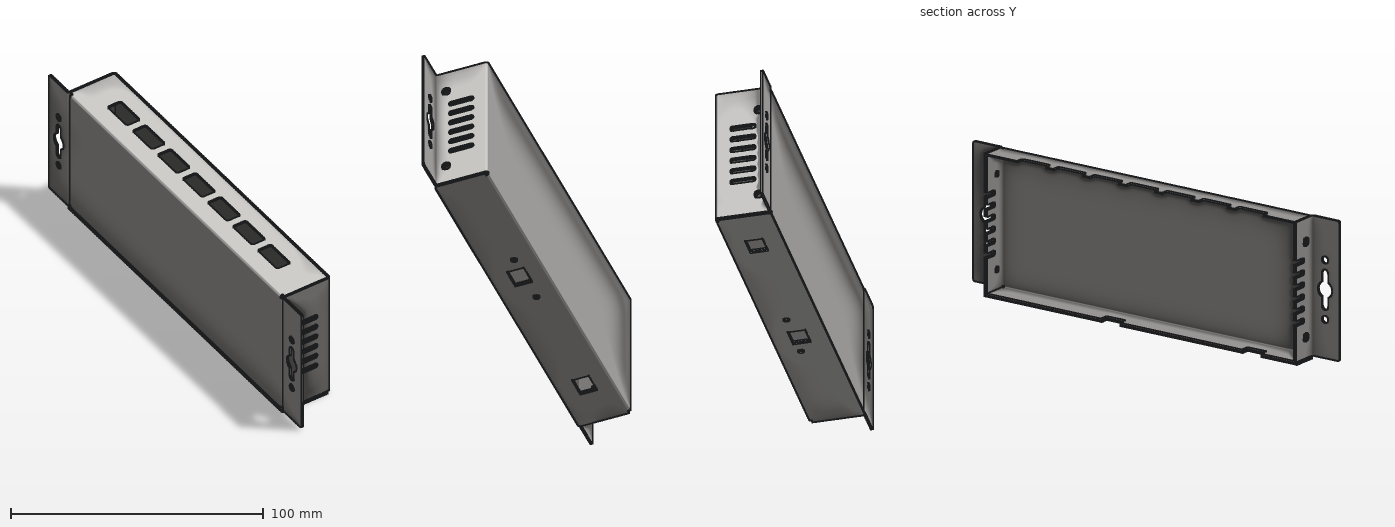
import cadquery as cq
import math

overall_length = 179.0
depth = 22.7
height = 59.5
case_length = 152.7

sheet = 0.8
bend_inner = 0.4
bend_outer = bend_inner + sheet
ear_corner = 1.0

ear_hole_x = 82.5
ear_hole_z = 12.4
ear_hole_diameter = 3.0
keyhole_length = 16.8
keyhole_diameter = 7.0

vent_count = 6
vent_pitch = 5.0
vent_length = 10.4
vent_width = 2.1
screw_y = -6.5
screw_z = 19.9
screw_clearance_diameter = 3.5
screw_thread_diameter = 2.5

port_count = 7
port_pitch = 17.7
port_length = 14.0
port_width = 6.5
port_corner = 1.0

socket_centers_x = (-54.5, 14.5)
socket_length = 9.1
socket_width = 7.2
lamp_centers_x = (1.0, 24.7)
lamp_y = 1.8
lamp_diameter = 2.5

front_y = -depth / 2
back_y = depth / 2
top_z = height / 2
bottom_z = -height / 2
wall_outer_x = case_length / 2
wall_inner_x = wall_outer_x - sheet
back_inner_y = back_y - sheet
flange_top_z = bottom_z + sheet
wall_bottom_z = bottom_z + bend_outer
wall_height = top_z - wall_bottom_z
flange_back_y = back_y - bend_outer
bottom_openings_height = 2 * bend_outer


def box(x_range, y_range, z_range):
    """Axis-aligned block between the given limits."""
    size = [high - low for low, high in (x_range, y_range, z_range)]
    corner = (x_range[0], y_range[0], z_range[0])
    return cq.Workplane("XY").box(*size, centered=False).translate(corner)


def quarter_arc(sketch, center, radius, start_degrees, end_degrees):
    """Continue an outline with an arc about a centre, starting where the last line should end."""

    def point(degrees):
        angle = math.radians(degrees)
        return (center[0] + radius * math.cos(angle), center[1] + radius * math.sin(angle))

    middle_degrees = (start_degrees + end_degrees) / 2
    return sketch.lineTo(*point(start_degrees)).threePointArc(point(middle_degrees), point(end_degrees))


def vent_slots():
    """Slots that run along X through both side walls."""
    return (
        cq.Workplane("YZ")
        .rarray(1.8, vent_pitch, 1, vent_count)
        .slot2D(vent_length, vent_width)
        .extrude(case_length, both=True)
    )


def screw_holes(diameter):
    """Two holes that run along X through both side walls."""
    return (
        cq.Workplane("YZ")
        .pushPoints([(screw_y, screw_z), (screw_y, -screw_z)])
        .circle(diameter / 2)
        .extrude(case_length, both=True)
    )


def bottom_openings():
    """Socket windows and lamp holes through the two bottom sheets."""
    plane = cq.Workplane("XY", origin=(0, 0, bottom_z))
    sockets = (
        plane.pushPoints([(x, 0) for x in socket_centers_x])
        .rect(socket_length, socket_width)
        .extrude(bottom_openings_height)
    )
    lamps = (
        plane.pushPoints([(x, lamp_y) for x in lamp_centers_x])
        .circle(lamp_diameter / 2)
        .extrude(bottom_openings_height)
    )
    return sockets.union(lamps)


def base_half_section():
    """The +X half of the bent strip: back plate, side wall and ear."""
    back_bend = (wall_outer_x - bend_outer, back_y - bend_outer)
    ear_bend = (wall_inner_x + bend_outer, front_y + bend_outer)
    ear_end_x = overall_length / 2

    outline = cq.Workplane("XY", origin=(0, 0, wall_bottom_z)).moveTo(0, back_y)
    outline = quarter_arc(outline, back_bend, bend_outer, 90, 0)
    outline = quarter_arc(outline, ear_bend, bend_inner, 180, 270)
    outline = outline.lineTo(ear_end_x, front_y + sheet).lineTo(ear_end_x, front_y)
    outline = quarter_arc(outline, ear_bend, bend_outer, 270, 180)
    outline = quarter_arc(outline, back_bend, bend_inner, 0, 90)
    half = outline.lineTo(0, back_inner_y).close().extrude(wall_height)
    return half.edges("|Y and >X").fillet(ear_corner)


def bottom_flange():
    """Flat flange under the cover, joined to the back plate by a bend."""
    flat = box(
        (-wall_outer_x, wall_outer_x), (front_y, flange_back_y), (bottom_z, flange_top_z)
    ).edges("|Z and <Y").fillet(ear_corner)

    bend_end_x = wall_outer_x - bend_outer
    center = (flange_back_y, wall_bottom_z)
    outline = cq.Workplane("YZ", origin=(-bend_end_x, 0, 0)).moveTo(back_inner_y, wall_bottom_z)
    outline = quarter_arc(outline, center, bend_outer, 0, -90)
    outline = quarter_arc(outline, center, bend_inner, -90, 0)
    return flat.union(outline.close().extrude(2 * bend_end_x))


def ear_holes():
    """Keyhole slot and two round holes in each ear."""
    plane = cq.Workplane("XZ", origin=(0, front_y + bend_outer, 0))
    ears = [(-ear_hole_x, 0), (ear_hole_x, 0)]
    rounds = [(x, z) for x, _ in ears for z in (-ear_hole_z, ear_hole_z)]
    cut_depth = 2 * bend_outer
    slots = plane.pushPoints(ears).slot2D(keyhole_length, ear_hole_diameter, 90).extrude(cut_depth)
    centers = plane.pushPoints(ears).circle(keyhole_diameter / 2).extrude(cut_depth)
    holes = plane.pushPoints(rounds).circle(ear_hole_diameter / 2).extrude(cut_depth)
    return slots.union(centers).union(holes)


def make_base():
    half = base_half_section()
    body = half.union(half.mirror("YZ")).union(bottom_flange())
    body = body.cut(vent_slots()).cut(screw_holes(screw_clearance_diameter))
    return body.cut(ear_holes()).cut(bottom_openings())


def cover_shell():
    """Open-backed tray that fills the inside of the base."""
    outer = box((-wall_inner_x, wall_inner_x), (front_y, back_inner_y), (flange_top_z, top_z))
    outer = outer.faces("<Y").edges().fillet(bend_outer)
    outer = outer.faces(">Y").edges("|Z or <Z").fillet(bend_inner)

    inner = box(
        (-wall_inner_x + sheet, wall_inner_x - sheet),
        (front_y + sheet, back_y),
        (flange_top_z + sheet, top_z - sheet),
    )
    return outer.cut(inner.faces("<Y").edges().fillet(bend_inner))


def corner_reliefs():
    """Square notches where two neighbouring front bends would meet."""
    notch = cq.Workplane("XZ", origin=(0, front_y + bend_outer, 0))
    middle_x = wall_inner_x - bend_outer / 2
    levels = (top_z - bend_outer / 2, flange_top_z + bend_outer / 2)
    corners = [(side * middle_x, z) for side in (-1, 1) for z in levels]
    return notch.pushPoints(corners).rect(bend_outer, bend_outer).extrude(bend_outer)


def top_ports():
    """Row of rounded windows through the top wall."""
    return (
        cq.Workplane("XY", origin=(0, 0, top_z - bend_outer))
        .rarray(port_pitch, 1.8, port_count, 1)
        .rect(port_length, port_width)
        .extrude(bend_outer)
        .edges("|Z")
        .fillet(port_corner)
    )


def make_cover():
    body = cover_shell().cut(corner_reliefs()).cut(top_ports())
    body = body.cut(vent_slots()).cut(screw_holes(screw_thread_diameter))
    return body.cut(bottom_openings())


base = make_base()
cover = make_cover()

result = cq.Compound.makeCompound([base.val(), cover.val()])